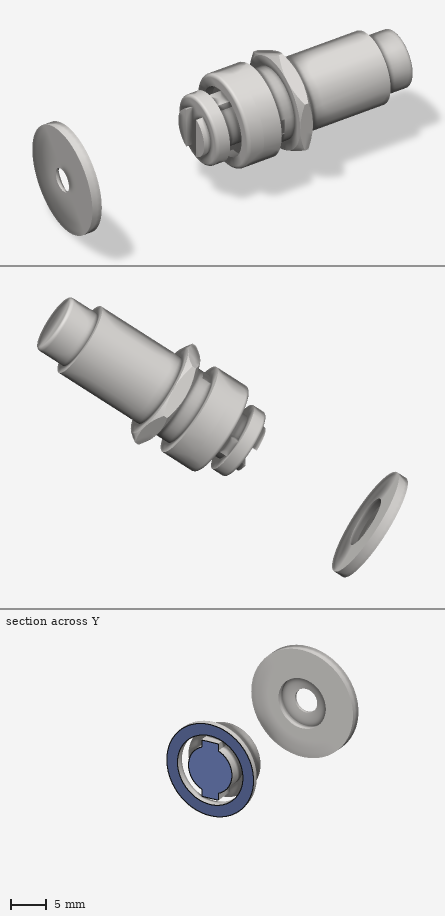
import cadquery as cq
import math


WASHER_DIAMETER = 16.4
WASHER_THICKNESS = 1.5
WASHER_HOLE_RADIUS = 1.8
WASHER_HOLE_LAND = 0.45
WASHER_RECESS_RADIUS = 3.8

PRONG_FRONT = 20.9
DISC_FRONT = 21.95
DISC_REAR = 24.05
CAP_FRONT = 25.95
CAP_FLOOR = 27.45
CAP_REAR = 28.5
COLLAR_REAR = 31.4
NUT_FRONT = 34.4
NUT_REAR = 36.45
BARREL_REAR = 49.95
PLUG_REAR = 54.45

BARREL_RADIUS = 5.5
NOTCH_LENGTH = 1.45
NOTCH_WIDTH = 2.5
NOTCH_DEPTH = 0.3

COLLAR_RADIUS = 7.0
CAP_BORE_RADIUS = 5.2
CAP_FILLET = 0.5

PLUG_RADIUS = 4.35
PLUG_FILLET = 0.5

NUT_ACROSS_FLATS = 2 * COLLAR_RADIUS
NUT_CORNER_RADIUS = NUT_ACROSS_FLATS / math.sqrt(3)
NUT_CORNER_LENGTH = 0.6

DISC_RADIUS = 5.3
DISC_FILLET = 0.45
SPINDLE_RADIUS = 3.55
PRONG_GAP = 2.7
BAR_HEIGHT = 8.7


def cylinder(radius, front, rear):
    """Solid cylinder along Y between two stations."""
    return cq.Workplane("XZ", origin=(0, front, 0)).circle(radius).extrude(front - rear)


def box(width, height, front, rear):
    """Box centred on the Y axis between two stations."""
    return cq.Workplane("XZ", origin=(0, front, 0)).rect(width, height).extrude(front - rear)


def make_washer():
    """Disc with a small front hole that opens into a wide recess on the rear face."""
    hole = cylinder(WASHER_HOLE_RADIUS, 0, WASHER_THICKNESS)
    recess = cylinder(WASHER_RECESS_RADIUS, WASHER_HOLE_LAND, WASHER_THICKNESS)
    return cylinder(WASHER_DIAMETER / 2, 0, WASHER_THICKNESS).cut(hole).cut(recess)


def make_plug():
    plug = cylinder(PLUG_RADIUS, BARREL_REAR, PLUG_REAR)
    return plug.faces(">Y").edges().fillet(PLUG_FILLET)


def make_barrel():
    barrel = cylinder(BARREL_RADIUS, CAP_REAR, BARREL_REAR)
    notch_rear = COLLAR_REAR + NOTCH_LENGTH
    notch_band = box(2 * BARREL_RADIUS, NOTCH_WIDTH, COLLAR_REAR, notch_rear)
    notch_core = box(2 * (BARREL_RADIUS - NOTCH_DEPTH), NOTCH_WIDTH, COLLAR_REAR, notch_rear)
    return barrel.cut(notch_band.cut(notch_core))


def make_collar():
    bore = cylinder(BARREL_RADIUS, CAP_REAR, COLLAR_REAR)
    return cylinder(COLLAR_RADIUS, CAP_REAR, COLLAR_REAR).cut(bore)


def make_cap():
    """Rounded cap with a blind bore; the spindle stands on the floor of the bore."""
    cap = cylinder(COLLAR_RADIUS, CAP_FRONT, CAP_REAR).faces("<Y").edges().fillet(CAP_FILLET)
    return cap.cut(cylinder(CAP_BORE_RADIUS, CAP_FRONT, CAP_FLOOR))


def make_nut():
    hexagon = (
        cq.Workplane("XZ", origin=(0, NUT_FRONT, 0))
        .transformed(rotate=(0, 0, 90))
        .polygon(6, 2 * NUT_CORNER_RADIUS)
        .extrude(NUT_FRONT - NUT_REAR)
    )
    half_flat = NUT_CORNER_LENGTH / 2
    middle = (NUT_FRONT + NUT_REAR) / 2
    envelope = (
        cq.Workplane("XY")
        .moveTo(0, NUT_FRONT)
        .lineTo(NUT_ACROSS_FLATS / 2, NUT_FRONT)
        .lineTo(NUT_CORNER_RADIUS, middle - half_flat)
        .lineTo(NUT_CORNER_RADIUS, middle + half_flat)
        .lineTo(NUT_ACROSS_FLATS / 2, NUT_REAR)
        .lineTo(0, NUT_REAR)
        .close()
        .revolve(360, (0, 0, 0), (0, 1, 0))
    )
    return hexagon.intersect(envelope).cut(cylinder(BARREL_RADIUS, NUT_FRONT, NUT_REAR))


def make_spindle():
    """Round shank with a flat cross bar; two prongs reach forward through the disc."""
    shank = cylinder(SPINDLE_RADIUS, PRONG_FRONT, CAP_FLOOR)
    prong_slot = box(PRONG_GAP, 2 * SPINDLE_RADIUS, PRONG_FRONT, DISC_REAR)
    cross_bar = box(PRONG_GAP, BAR_HEIGHT, DISC_REAR, CAP_FLOOR)
    return shank.cut(prong_slot).union(cross_bar)


def make_disc(spindle):
    disc = cylinder(DISC_RADIUS, DISC_FRONT, DISC_REAR).faces("<Y").edges().fillet(DISC_FILLET)
    return disc.cut(spindle)


washer = make_washer()
plug = make_plug()
barrel = make_barrel()
collar = make_collar()
cap = make_cap()
nut = make_nut()
spindle = make_spindle()
disc = make_disc(spindle)

bodies = [washer, plug, barrel, collar, cap, nut, spindle, disc]
result = cq.Compound.makeCompound([body.val() for body in bodies])